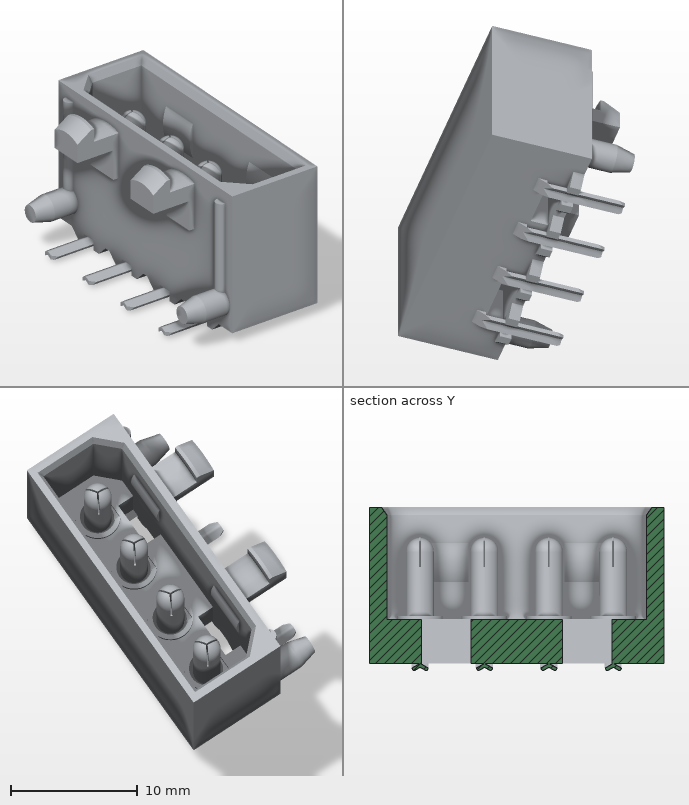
import cadquery as cq
import math


LENGTH = 23.27
DEPTH = 8.28
HEIGHT = 12.33
WALL = 0.98
BACK_WALL = 0.9
FLOOR = 3.5
CORNER_CUT = 1.63
LEAD_IN = 0.33
LEAD_IN_DEPTH = 0.65

PIN_COUNT = 4
PITCH = 5.07
PIN_Y = 4.28
PIN_X = [(i - (PIN_COUNT - 1) / 2) * PITCH for i in range(PIN_COUNT)]

PIN_RADIUS = 1.1
PIN_TIP_Z = 9.91
SLIT_WIDTH = 0.15
SLIT_DEPTH = 2.33
SLIT_ANGLES = [30, 150, 270]
BOSS_RADIUS = 1.8
BOSS_HEIGHT = 0.23
SEAT_RADIUS = 1.4
SEAT_DEPTH = 0.7
NOTCH_WIDTH = 1.9
NOTCH_REACH = 1.45

TAIL_WIDTH = 1.35
TAIL_THICKNESS = 0.3
TAIL_SLOPE = math.radians(30)
TAIL_REACH = 3.95
TAIL_TIP_WIDTH = 0.81
TAIL_TAPER = 0.55
ROOT_Y = 2.58
ROOT_END_Y = 3.3
ROOT_TOP = 1.75
ROOT_BEVEL_RUN = 5.0
ROOT_BEVEL_DROP = 2.4

FOOT_HEIGHT = 0.88
FOOT_DEPTH = 0.93
FEET_HALF_LENGTH = 9.82
NOTCH_TOP_WIDTH = 0.54

LATCH_X = PITCH
LATCH_WIDTH = 3.05
LATCH_BOTTOM = 7.15
PLATE_REACH = 0.51
ARM_BOTTOM = 9.82
ARM_CROWN = 11.47
HOOK_START = 2.4
HOOK_FLAT_END = 2.7
HOOK_TIP = 4.03
HOOK_CROWN = 12.68
HOOK_TIP_CROWN = 11.9
ARM_SAG = 0.25
HOOK_SAG = 0.33
TIP_SAG = 0.42

PEG_X = 2 * PITCH
PEG_Z = 2.2
PEG_RADIUS = 1.15
PEG_TIP_RADIUS = 0.75
PEG_STRAIGHT = 2.25
PEG_REACH = 3.82
RIB_RADIUS = 0.51
RIB_TOP = 11.25

BUMP_X = 5.55
BUMP_LENGTH = 3.58
BUMP_HEIGHT = 3.07
BUMP_RISE = 0.3
BUMP_Z = 7.95
WINDOW_LENGTH = 3.85
WINDOW_FAR_Y = 2.4


def cavity_outline(z, offset):
    """Keyed cavity outline at height z, grown outward by offset."""
    half = LENGTH / 2 - WALL + offset
    near = WALL - offset
    far = DEPTH - BACK_WALL + offset
    cut = CORNER_CUT + offset * (2 - math.sqrt(2))
    corners = [
        (-half, far),
        (-half, near + cut),
        (-half + cut, near),
        (half - cut, near),
        (half, near + cut),
        (half, far),
    ]
    return cq.Workplane("XY", origin=(0, 0, z)).polyline(corners).close()


def box_shell():
    box = cq.Workplane("XY").box(LENGTH, DEPTH, HEIGHT, centered=(True, False, False))
    cavity = cavity_outline(FLOOR, 0).extrude(HEIGHT - FLOOR)
    throat = cavity_outline(HEIGHT - LEAD_IN_DEPTH, 0).wires().vals()[0]
    mouth = cavity_outline(HEIGHT, LEAD_IN).wires().vals()[0]
    lead_in = cq.Solid.makeLoft([throat, mouth], True)
    return box.cut(cavity).cut(cq.Workplane(lead_in))


def floor_window(x):
    return (
        cq.Workplane("XY")
        .box(WINDOW_LENGTH, WINDOW_FAR_Y - WALL, FLOOR, centered=(True, False, False))
        .translate((x, WALL, 0))
    )


def bump(x, wall_y, direction):
    """Shallow cylindrical pad rising from a cavity wall towards direction (+1 or -1 in Y)."""
    return (
        cq.Workplane("YZ", origin=(x - BUMP_LENGTH / 2, 0, 0))
        .moveTo(wall_y, BUMP_Z - BUMP_HEIGHT / 2)
        .threePointArc((wall_y + direction * BUMP_RISE, BUMP_Z), (wall_y, BUMP_Z + BUMP_HEIGHT / 2))
        .close()
        .extrude(BUMP_LENGTH)
    )


def feet():
    """Bevelled strip with a V notch between pins and a slot for each tail."""
    strip = (
        cq.Workplane("XZ")
        .polyline([
            (-FEET_HALF_LENGTH, 0),
            (-FEET_HALF_LENGTH + FOOT_HEIGHT, -FOOT_HEIGHT),
            (FEET_HALF_LENGTH - FOOT_HEIGHT, -FOOT_HEIGHT),
            (FEET_HALF_LENGTH, 0),
        ])
        .close()
        .extrude(-FOOT_DEPTH)
    )
    top_half = NOTCH_TOP_WIDTH / 2
    bottom_half = top_half + FOOT_HEIGHT
    for x in PIN_X[:-1]:
        notch = (
            cq.Workplane("XZ", origin=(x + PITCH / 2, 0, 0))
            .polyline([
                (-top_half, 0),
                (top_half, 0),
                (bottom_half, -FOOT_HEIGHT),
                (-bottom_half, -FOOT_HEIGHT),
            ])
            .close()
            .extrude(-FOOT_DEPTH)
        )
        strip = strip.cut(notch)
    for x in PIN_X:
        slot = cq.Workplane("XY").box(TAIL_WIDTH, FOOT_DEPTH, FOOT_HEIGHT, centered=(True, False, False))
        strip = strip.cut(slot.translate((x, 0, -FOOT_HEIGHT)))
    return strip


def floor_boss(x):
    return (
        cq.Workplane("XY", origin=(x, PIN_Y, FLOOR))
        .circle(BOSS_RADIUS)
        .extrude(BOSS_HEIGHT)
    )


def pin_seat(x):
    """Conical recess round the pin with a square notch on the board side."""
    top = FLOOR + BOSS_HEIGHT
    cone = cq.Solid.makeCone(PIN_RADIUS, SEAT_RADIUS, SEAT_DEPTH, cq.Vector(x, PIN_Y, top - SEAT_DEPTH))
    notch = (
        cq.Workplane("XY")
        .box(NOTCH_WIDTH, NOTCH_REACH, BOSS_HEIGHT, centered=(True, False, False))
        .translate((x, PIN_Y - NOTCH_REACH, FLOOR))
    )
    return cq.Workplane(cone).union(notch)


def pin(x):
    """Round pin with a hemispherical tip split by three slits."""
    dome_z = PIN_TIP_Z - PIN_RADIUS
    base_z = FLOOR - SEAT_DEPTH
    shank = cq.Workplane("XY", origin=(0, 0, base_z)).circle(PIN_RADIUS).extrude(dome_z - base_z)
    body = shank.union(cq.Workplane("XY", origin=(0, 0, dome_z)).sphere(PIN_RADIUS))
    for angle in SLIT_ANGLES:
        slit = (
            cq.Workplane("XY")
            .box(PIN_RADIUS, SLIT_WIDTH, SLIT_DEPTH, centered=(False, True, False))
            .translate((0, 0, PIN_TIP_Z - SLIT_DEPTH))
            .rotate((0, 0, 0), (0, 0, 1), angle)
        )
        body = body.cut(slit)
    return body.translate((x, PIN_Y, 0))


def tail(x):
    """Folded strip under the box, joined to it by a bevelled root block."""
    half = TAIL_WIDTH / 2
    sine = math.sin(TAIL_SLOPE)
    cosine = math.cos(TAIL_SLOPE)
    ridge_x = TAIL_THICKNESS * sine
    ridge_z = TAIL_THICKNESS * (cosine - 1)
    edge_z = ridge_z - (half - ridge_x) * math.tan(TAIL_SLOPE)
    lower_x = half - TAIL_THICKNESS * sine
    lower_z = edge_z - TAIL_THICKNESS * cosine

    strip = (
        cq.Workplane("XZ", origin=(0, -TAIL_REACH, 0))
        .moveTo(-ridge_x, ridge_z)
        .threePointArc((0, 0), (ridge_x, ridge_z))
        .lineTo(half, edge_z)
        .lineTo(lower_x, lower_z)
        .lineTo(0, -TAIL_THICKNESS)
        .lineTo(-lower_x, lower_z)
        .lineTo(-half, edge_z)
        .close()
        .extrude(-(TAIL_REACH + ROOT_END_Y))
    )
    root = (
        cq.Workplane("XZ", origin=(0, ROOT_Y, 0))
        .polyline([
            (-half, ROOT_TOP),
            (half, ROOT_TOP),
            (half, edge_z),
            (0, -TAIL_THICKNESS),
            (-half, edge_z),
        ])
        .close()
        .extrude(ROOT_Y - ROOT_END_Y)
    )
    bevel_slope = ROOT_BEVEL_DROP / ROOT_BEVEL_RUN
    below_bevel = (
        cq.Workplane("YZ", origin=(-half, 0, 0))
        .polyline([
            (ROOT_END_Y, 0),
            (ROOT_END_Y, -FOOT_HEIGHT),
            (ROOT_END_Y - FOOT_HEIGHT / bevel_slope, -FOOT_HEIGHT),
        ])
        .close()
        .extrude(TAIL_WIDTH)
    )
    tip_half = TAIL_TIP_WIDTH / 2
    plan = (
        cq.Workplane("XY", origin=(0, 0, -FOOT_HEIGHT))
        .polyline([
            (-tip_half, -TAIL_REACH),
            (tip_half, -TAIL_REACH),
            (half, -TAIL_REACH + TAIL_TAPER),
            (half, ROOT_END_Y),
            (-half, ROOT_END_Y),
            (-half, -TAIL_REACH + TAIL_TAPER),
        ])
        .close()
        .extrude(FOOT_HEIGHT + FLOOR)
    )
    return strip.union(root).cut(below_bevel).intersect(plan).translate((x, 0, 0))


def crowned_section(y, bottom, crown, sag):
    """Latch cross-section at y: flat below, arched on top."""
    half = LATCH_WIDTH / 2
    return (
        cq.Workplane("XZ", origin=(0, y, 0))
        .moveTo(-half, bottom)
        .lineTo(half, bottom)
        .lineTo(half, crown - sag)
        .threePointArc((0, crown), (-half, crown - sag))
        .close()
    )


def latch(x):
    """Plate on the board face carrying an arm with a hooked end."""
    plate = crowned_section(0, LATCH_BOTTOM, ARM_CROWN, ARM_SAG).extrude(PLATE_REACH)
    arm = crowned_section(0, ARM_BOTTOM, ARM_CROWN, ARM_SAG).extrude(HOOK_START)
    hook = crowned_section(-HOOK_START, ARM_BOTTOM, HOOK_CROWN, HOOK_SAG).extrude(HOOK_FLAT_END - HOOK_START)
    ramp_start = crowned_section(-HOOK_FLAT_END, ARM_BOTTOM, HOOK_CROWN, HOOK_SAG).wires().vals()[0]
    ramp_end = crowned_section(-HOOK_TIP, ARM_BOTTOM, HOOK_TIP_CROWN, TIP_SAG).wires().vals()[0]
    ramp = cq.Workplane(cq.Solid.makeLoft([ramp_start, ramp_end], True))
    return plate.union(arm).union(hook).union(ramp).translate((x, 0, 0))


def peg_and_rib(x):
    """Tapered board peg with a half-round rib rising above it."""
    peg = (
        cq.Workplane("XY")
        .polyline([
            (0, 0),
            (PEG_RADIUS, 0),
            (PEG_RADIUS, -PEG_STRAIGHT),
            (PEG_TIP_RADIUS, -PEG_REACH),
            (0, -PEG_REACH),
        ])
        .close()
        .revolve(360, (0, 0, 0), (0, 1, 0))
        .translate((x, 0, PEG_Z))
    )
    rib = cq.Workplane("XY", origin=(x, 0, PEG_Z)).circle(RIB_RADIUS).extrude(RIB_TOP - PEG_Z)
    inside_wall = cq.Workplane("XY").box(LENGTH, WALL, HEIGHT, centered=(True, False, False))
    return peg.union(rib.cut(inside_wall))


result = box_shell().union(feet())

for pin_x in PIN_X:
    result = result.union(floor_boss(pin_x)).cut(pin_seat(pin_x))
    result = result.union(pin(pin_x)).union(tail(pin_x))

for side in (-1, 1):
    result = result.cut(floor_window(side * BUMP_X))
    result = result.union(bump(side * BUMP_X, WALL, 1))
    result = result.union(bump(side * BUMP_X, DEPTH - BACK_WALL, -1))
    result = result.union(latch(side * LATCH_X))
    result = result.union(peg_and_rib(side * PEG_X))